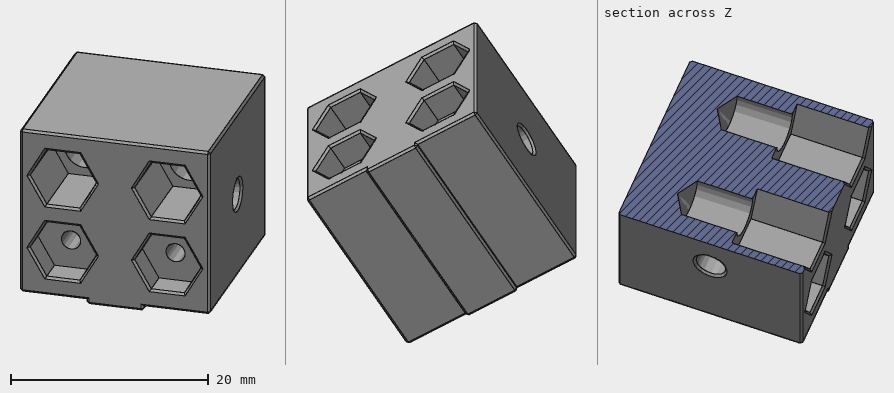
import cadquery as cq
import math

block_width = 20.0
block_depth = 20.0
block_height = 18.0
edge_chamfer = 0.25

rail_width = 6.0
rail_drop = 0.5

column_spacing = 11.0
row_spacing = 8.0
hex_across_flats = 6.05
lower_pocket_depth = 3.0
upper_pocket_depth = 8.0

through_hole_diameter = 2.0
drill_hole_diameter = 4.3
drill_hole_depth = 6.0
drill_point_angle = 118.0
cross_hole_diameter = 3.2

front_y = -block_depth / 2
mid_z = block_height / 2
upper_z = mid_z + row_spacing / 2
lower_z = mid_z - row_spacing / 2
column_xs = (-column_spacing / 2, column_spacing / 2)
half_hex_angle = math.radians(30)
hex_across_corners = hex_across_flats / math.cos(half_hex_angle)
mouth_across_flats = hex_across_flats + 2 * edge_chamfer
mouth_across_corners = mouth_across_flats / math.cos(half_hex_angle)


def front_plane(x, z):
    """Workplane at a front-face position, pointing into the block."""
    return cq.Workplane(
        cq.Plane(origin=(x, front_y, z), xDir=(1, 0, 0), normal=(0, 1, 0))
    )


def body():
    """Block and rail joined, with the outside edges chamfered."""
    block = cq.Workplane("XY").box(
        block_width, block_depth, block_height, centered=(True, True, False)
    )
    rail = (
        cq.Workplane("XY")
        .workplane(offset=-rail_drop)
        .rect(rail_width, block_depth)
        .extrude(rail_drop + mid_z)
    )
    half_drop = rail_drop / 2
    inside_corners = cq.selectors.BoxSelector(
        (-rail_width, -half_drop, -half_drop), (rail_width, half_drop, half_drop)
    )
    outside_edges = cq.selectors.InverseSelector(inside_corners)
    return block.union(rail).edges(outside_edges).chamfer(edge_chamfer)


def hex_pocket(x, z, depth):
    """Hexagonal pocket with a chamfered mouth, corners pointing along X."""
    pocket = front_plane(x, z).polygon(6, hex_across_corners).extrude(depth)
    mouth = (
        front_plane(x, z)
        .polygon(6, mouth_across_corners)
        .workplane(offset=edge_chamfer)
        .polygon(6, hex_across_corners)
        .loft(ruled=True)
    )
    return pocket.union(mouth)


def drill_hole(x, z):
    """Blind hole with a drill point, running on from the pocket floor."""
    radius = drill_hole_diameter / 2
    point_length = radius / math.tan(math.radians(drill_point_angle / 2))
    profile = [
        (0, 0),
        (radius, 0),
        (radius, drill_hole_depth),
        (0, drill_hole_depth + point_length),
    ]
    hole = cq.Workplane("XY").polyline(profile).close().revolve(360, (0, 0, 0), (0, 1, 0))
    return hole.translate((x, front_y + upper_pocket_depth, z))


def through_hole(x, z):
    """Round hole running the full depth of the block."""
    return front_plane(x, z).circle(through_hole_diameter / 2).extrude(block_depth)


def cross_hole():
    """Hole along X through both sides, chamfered at both mouths."""
    half_width = block_width / 2
    radius = cross_hole_diameter / 2
    profile = [
        (-half_width, 0),
        (-half_width, radius + edge_chamfer),
        (-half_width + edge_chamfer, radius),
        (half_width - edge_chamfer, radius),
        (half_width, radius + edge_chamfer),
        (half_width, 0),
    ]
    hole = cq.Workplane("XZ").polyline(profile).close().revolve(360, (0, 0, 0), (1, 0, 0))
    return hole.translate((0, 0, mid_z))


result = body().cut(cross_hole())
for x in column_xs:
    result = result.cut(hex_pocket(x, lower_z, lower_pocket_depth))
    result = result.cut(through_hole(x, lower_z))
    result = result.cut(hex_pocket(x, upper_z, upper_pocket_depth))
    result = result.cut(drill_hole(x, upper_z))